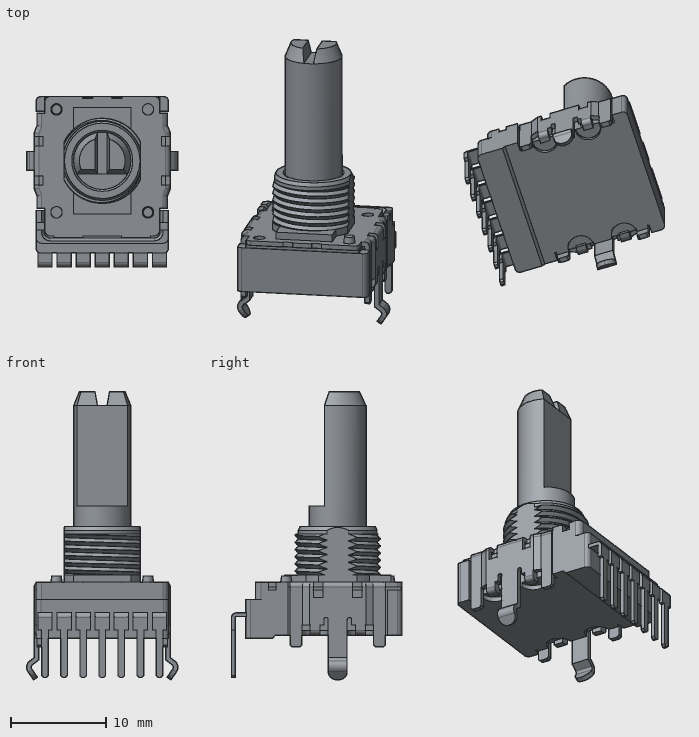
import cadquery as cq
import math


SHAFT_D = 6.0
SHAFT_TOP = 20.0
FLAT_Y = -1.4
FLAT_BOTTOM = 8.0
TIP_H = 1.45
TIP_INSET = 0.6
TIP_FLAT_INSET = 0.5
SLOT_BOTTOM_W = 1.0
SLOT_TOP_W = 1.5

BUSHING_TOP = 5.85
BUSHING_FLATS = 8.0
MAJOR_D = 8.95
MINOR_D = 8.3
THREAD_PITCH = 0.75
THREAD_TOP = 5.05
THREAD_CREST_Z = 0.24
THREAD_CREST_W = 0.04
THREAD_ROOT_GAP = 0.003
THREAD_EMBED = 0.01
BUSHING_CHAMFER = 0.4
BORE_CHAMFER = 0.2
PAD_H = 0.75
PAD_X = 6.0
PAD_Y = 11.15

SHEET = 0.5
BEND_R = 0.5
PLATE_HALF_X = 6.0
PLATE_BACK = 6.75
PLATE_FRONT = -7.87
PLATE_CORNER_R = 0.5
LIP_DEPTH = 0.16
LIP_X = (2.0, 5.05)
BACK_NOTCH_X = (1.0, 2.05)
BACK_NOTCH_DEPTH = 0.2
WALL_X = 7.15
LEG_X = 6.85
WALL_HALF_Y = 2.95
JOG_END_Y = 3.7
LEG_OUTER_Y = 5.0
LEG_INNER_Y = 3.75
LEG_BOTTOM = -6.78
LEG_CHAMFER = 0.2
WALL_BOTTOM = -4.5
WINDOW_Y = (1.57, 2.55)
WINDOW_BOTTOM = -1.6
WINDOW_INNER_X = 6.2
PEG_X = 4.8
PEG_Y = 5.4
PEG_BASE_D = 1.2
PEG_TOP_D = 1.0
PEG_H = 0.66

TAB_Y = (1.85, 2.9)
TAB_BEND_Z = -5.05
FOOT_W = 2.0
FOOT_BEND_Z = -8.03
FOOT_KNEE_X = 7.89
FOOT_KNEE_Z = -8.8
FOOT_TIP_X = 7.0
FOOT_TIP_Z = -10.12
FOOT_BEND_OUTER_R = 0.8
FOOT_BEND_INNER_R = FOOT_BEND_OUTER_R - SHEET
FOOT_TIP_R = 0.99
RELIEF_W = 0.45
RELIEF_TOP = -3.7

BODY_HALF_X = 6.95
BODY_BACK = 6.75
BODY_FRONT = -8.65
BODY_BOTTOM = -5.57
BODY_CORNER_R = 0.5
UPPER_CORNER_R = 0.6
STEP_FRONT = -9.67
STEP_TOP = -1.8
STEP_BOTTOM = -5.9
STEP_RAMP_Y = (-6.55, -6.85)
RIM_TOP = -0.8
BACK_CORE_Y = 6.65
RECESS_HALF_Y = 5.2
RECESS_X = 6.35
GAP_X = 6.05
SCOOP_R = 1.37
SCOOP_TOP = TAB_BEND_Z
TRAY_WALL_X = 6.37
TRAY_FRONT = -8.39
TRAY_INSET = 0.3
TRAY_CORNER_R = 0.9
SIDE_NOTCH_Y = (-6.45, -7.25)
SIDE_NOTCH_DEPTH = 0.8

PIN_COUNT = 7
PIN_PITCH = 2.0
PIN_T = 0.4
PIN_W = 0.72
PIN_SHOULDER_W = 1.5
PIN_TOP = -3.2
PIN_OUTER_Y = -11.15
PIN_BEND_R = 0.5
PIN_SHOULDER_Z = -5.0
PIN_BOTTOM = -10.0
PIN_TIP_CHAMFER = 0.22
PIN_EMBED = 1.0

BOTH_SIDES = (-1, 1)

FAR_X = 20.0


def box(x0, x1, y0, y1, z0, z1):
    """Block between two opposite corners."""
    size = (abs(x1 - x0), abs(y1 - y0), abs(z1 - z0))
    return cq.Workplane("XY").box(*size).translate(((x0 + x1) / 2, (y0 + y1) / 2, (z0 + z1) / 2))


def make_shaft():
    """D-shaft with a tapered, screwdriver-slotted tip."""
    radius = SHAFT_D / 2
    tip_z = SHAFT_TOP - TIP_H
    profile = [
        (0, BODY_BOTTOM),
        (radius, BODY_BOTTOM),
        (radius, tip_z),
        (radius - TIP_INSET, SHAFT_TOP),
        (0, SHAFT_TOP),
    ]
    shaft = cq.Workplane("XZ").polyline(profile).close().revolve(360, (0, 0), (0, 1))
    flat = (
        cq.Workplane("YZ")
        .polyline([
            (-SHAFT_D, FLAT_BOTTOM),
            (FLAT_Y, FLAT_BOTTOM),
            (FLAT_Y, tip_z),
            (FLAT_Y + TIP_FLAT_INSET, SHAFT_TOP),
            (-SHAFT_D, SHAFT_TOP),
        ])
        .close()
        .extrude(radius, both=True)
    )
    slot = (
        cq.Workplane("XZ")
        .polyline([
            (-SLOT_BOTTOM_W / 2, tip_z),
            (SLOT_BOTTOM_W / 2, tip_z),
            (SLOT_TOP_W / 2, SHAFT_TOP),
            (-SLOT_TOP_W / 2, SHAFT_TOP),
        ])
        .close()
        .extrude(radius, both=True)
    )
    return shaft.cut(flat).cut(slot)


def make_thread():
    """Left-hand helical ridge, trimmed to the threaded length."""
    root_r = MINOR_D / 2 - THREAD_EMBED
    start_z = THREAD_CREST_Z - THREAD_PITCH
    height = THREAD_TOP - start_z + THREAD_PITCH
    half_root = THREAD_PITCH / 2 - THREAD_ROOT_GAP
    path = cq.Wire.makeHelix(THREAD_PITCH, height, root_r, lefthand=True)
    ridge = (
        cq.Workplane("XZ")
        .polyline([
            (root_r, -half_root),
            (MAJOR_D / 2, -THREAD_CREST_W / 2),
            (MAJOR_D / 2, THREAD_CREST_W / 2),
            (root_r, half_root),
        ])
        .close()
        .sweep(cq.Workplane(path), isFrenet=True)
        .translate((0, 0, start_z))
    )
    return ridge.intersect(box(-MAJOR_D, MAJOR_D, -MAJOR_D, MAJOR_D, PAD_H, THREAD_TOP))


def make_bushing():
    """Threaded bushing with two flats, standing on its pad."""
    core = (
        cq.Workplane("XY")
        .circle(MINOR_D / 2)
        .extrude(BUSHING_TOP)
        .faces(">Z")
        .chamfer(BUSHING_CHAMFER, BUSHING_CHAMFER / 2)
    )
    bore_r = SHAFT_D / 2
    bore = cq.Workplane("XY").workplane(offset=BUSHING_TOP - BORE_CHAMFER).circle(bore_r)
    bore = bore.workplane(offset=BORE_CHAMFER).circle(bore_r + BORE_CHAMFER).loft()
    collar = cq.Workplane("XY").circle(MAJOR_D / 2).extrude(PAD_H)
    between_flats = box(-BUSHING_FLATS / 2, BUSHING_FLATS / 2, -MAJOR_D, MAJOR_D, 0, BUSHING_TOP)
    bushing = core.union(make_thread()).cut(bore).union(collar).intersect(between_flats)
    pad = cq.Workplane("XY").rect(PAD_X, PAD_Y).extrude(PAD_H)
    return bushing.union(pad)


def make_plate():
    """Flat top of the cover with its edge notches, lips and two pegs."""
    plate = box(-PLATE_HALF_X, PLATE_HALF_X, PLATE_FRONT, PLATE_BACK, -SHEET, 0)
    plate = plate.edges("|Z").fillet(PLATE_CORNER_R)
    for side in BOTH_SIDES:
        lip_x = [side * x for x in LIP_X]
        plate = plate.union(box(*lip_x, PLATE_FRONT - LIP_DEPTH, PLATE_FRONT + SHEET, -SHEET, 0))
        notch_x = [side * x for x in BACK_NOTCH_X]
        plate = plate.cut(box(*notch_x, PLATE_BACK - BACK_NOTCH_DEPTH, PLATE_BACK, -SHEET, 0))
        peg = cq.Workplane("XY").circle(PEG_BASE_D / 2).workplane(offset=PEG_H).circle(PEG_TOP_D / 2)
        plate = plate.union(peg.loft().translate((side * PEG_X, -side * PEG_Y, 0)))
    return plate


def wall_outline(offset):
    """Jogged line of the cover wall, moved inward by the given offset."""
    leg = LEG_X - offset
    wall = WALL_X - offset
    return [
        (leg, LEG_OUTER_Y),
        (leg, JOG_END_Y),
        (wall, WALL_HALF_Y),
        (wall, -WALL_HALF_Y),
        (leg, -JOG_END_Y),
        (leg, -LEG_OUTER_Y),
    ]


def make_foot():
    """Snap-in foot: a strip bent outward, then back in to a rounded tip."""
    half = SHEET / 2
    center_x = WALL_X - half
    stations = [
        (center_x, RELIEF_TOP),
        (center_x, FOOT_BEND_Z),
        (FOOT_KNEE_X, FOOT_KNEE_Z),
        (FOOT_TIP_X, FOOT_TIP_Z),
    ]
    headings = [math.atan2(b[1] - a[1], b[0] - a[0]) for a, b in zip(stations, stations[1:])]
    outer = []
    inner = []
    for index, (x, z) in enumerate(stations):
        before = headings[max(index - 1, 0)]
        after = headings[min(index, len(headings) - 1)]
        normal = (before + after + math.pi) / 2
        reach = half / math.cos((after - before) / 2)
        outer.append((x + reach * math.cos(normal), z + reach * math.sin(normal)))
        inner.append((x - reach * math.cos(normal), z - reach * math.sin(normal)))
    strip = cq.Workplane("XZ").polyline(outer + inner[::-1]).close().extrude(FOOT_W / 2, both=True)
    for point, radius in ((outer[2], FOOT_BEND_OUTER_R), (inner[2], FOOT_BEND_INNER_R)):
        bend = cq.selectors.NearestToPointSelector((point[0], 0, point[1]))
        strip = strip.edges("|Y").edges(bend).fillet(radius)
    return strip.faces("<Z").edges("not |Y").fillet(FOOT_TIP_R)


def make_tab(side_y):
    """Crimp tab running down from the wall and curling under the body."""
    y0, y1 = [side_y * y for y in TAB_Y]
    tab = box(WALL_X - 2 * SHEET, WALL_X, y0, y1, WALL_BOTTOM, TAB_BEND_Z - SHEET)
    return tab.edges("|Y and >X and <Z").fillet(SHEET)


def make_side_wall():
    """Cover wall on the +X side with its legs, windows, crimp tabs and foot."""
    wall = (
        cq.Workplane("XY")
        .polyline(wall_outline(0) + [(0, -LEG_OUTER_Y), (0, LEG_OUTER_Y)])
        .close()
        .extrude(LEG_BOTTOM)
    )
    outer_top_edges = cq.selectors.BoxSelector((PEG_X, -WALL_X, -BEND_R), (FAR_X, WALL_X, BEND_R))
    wall = wall.faces(">Z").edges(outer_top_edges).fillet(BEND_R)
    interior = (
        cq.Workplane("XY", origin=(0, 0, -SHEET))
        .polyline(wall_outline(SHEET) + [(0, -LEG_OUTER_Y), (0, LEG_OUTER_Y)])
        .close()
        .extrude(LEG_BOTTOM)
    )
    wall = wall.cut(interior)
    wall = wall.cut(box(0, FAR_X, -LEG_INNER_Y, LEG_INNER_Y, WALL_BOTTOM, LEG_BOTTOM))
    wall = wall.edges("|X and <Z").chamfer(LEG_CHAMFER)
    for side in BOTH_SIDES:
        window_y = [side * y for y in WINDOW_Y]
        wall = wall.cut(box(WINDOW_INNER_X, FAR_X, *window_y, WINDOW_BOTTOM, 0))
        relief_y = side * (FOOT_W + RELIEF_W) / 2
        relief_r = RELIEF_W / 2
        relief = (
            cq.Workplane("YZ")
            .center(relief_y, RELIEF_TOP - relief_r)
            .circle(relief_r)
            .extrude(FAR_X)
        )
        relief_sides = (relief_y - relief_r, relief_y + relief_r)
        relief = relief.union(box(0, FAR_X, *relief_sides, RELIEF_TOP - relief_r, LEG_BOTTOM))
        wall = wall.cut(relief).union(make_tab(side))
    return wall.union(make_foot())


def make_cover():
    """Metal cover: plate, both side walls and two holes opposite the pegs."""
    wall = make_side_wall()
    cover = make_plate().union(wall).union(wall.mirror("YZ"))
    for side in BOTH_SIDES:
        hole = cq.Workplane("XY").circle(PEG_BASE_D / 2).extrude(-SHEET)
        cover = cover.cut(hole.translate((side * PEG_X, side * PEG_Y, 0)))
    return cover


def make_body():
    """Plastic body: stepped block with a tray for the cover and recessed sides."""
    upper = box(-BODY_HALF_X, BODY_HALF_X, BODY_FRONT, BODY_BACK, BODY_BOTTOM, 0)
    upper = upper.edges("|Z and >Y").fillet(BODY_CORNER_R)
    upper = upper.edges("|Z and <Y").fillet(UPPER_CORNER_R)
    step = (
        cq.Workplane("YZ")
        .polyline([
            (STEP_FRONT, STEP_TOP),
            (0, STEP_TOP),
            (0, BODY_BOTTOM),
            (STEP_RAMP_Y[0], BODY_BOTTOM),
            (STEP_RAMP_Y[1], STEP_BOTTOM),
            (STEP_FRONT, STEP_BOTTOM),
        ])
        .close()
        .extrude(BODY_HALF_X, both=True)
        .edges("|Z and <Y")
        .fillet(BODY_CORNER_R)
    )
    body = upper.union(step)

    tray_length = BODY_BACK - TRAY_FRONT
    taper = math.degrees(math.atan2(TRAY_INSET, SHEET))
    tray = (
        cq.Workplane("XY")
        .sketch()
        .rect(2 * TRAY_WALL_X, 2 * tray_length)
        .vertices()
        .fillet(TRAY_CORNER_R)
        .finalize()
        .extrude(-SHEET, taper=taper)
        .translate((0, TRAY_FRONT + tray_length, 0))
    )
    body = body.cut(tray)
    body = body.cut(box(-PLATE_HALF_X, PLATE_HALF_X, BACK_CORE_Y, BODY_BACK, RIM_TOP, 0))

    for side in BOTH_SIDES:
        outside = side * FAR_X
        body = body.cut(box(side * GAP_X, outside, -RECESS_HALF_Y, BODY_BACK, RIM_TOP, 0))
        body = body.cut(box(side * RECESS_X, outside, -RECESS_HALF_Y, RECESS_HALF_Y, BODY_BOTTOM, 0))
        for end in BOTH_SIDES:
            backing_y = [end * y for y in WINDOW_Y]
            wall_inner_x = WALL_X - SHEET
            body = body.union(box(side * GAP_X, side * wall_inner_x, *backing_y, WALL_BOTTOM, RIM_TOP))
            scoop = cq.Workplane("XY").circle(SCOOP_R).extrude(SCOOP_TOP - BODY_BOTTOM)
            tab_y = end * sum(TAB_Y) / 2
            body = body.cut(scoop.translate((side * RECESS_X, tab_y, BODY_BOTTOM)))
        body = body.cut(box(side * GAP_X, outside, *SIDE_NOTCH_Y, -SIDE_NOTCH_DEPTH, 0))
        for end in BOTH_SIDES:
            gap_y = (end * LEG_OUTER_Y, end * RECESS_HALF_Y)
            body = body.cut(box(side * GAP_X, outside, *gap_y, BODY_BOTTOM, 0))
    return body


def make_pin():
    """Right-angle terminal with a wide shoulder and a pointed tip."""
    rail_back = STEP_FRONT + PIN_EMBED
    inner_y = PIN_OUTER_Y + PIN_T
    pin = (
        cq.Workplane("YZ")
        .polyline([
            (rail_back, PIN_TOP),
            (PIN_OUTER_Y, PIN_TOP),
            (PIN_OUTER_Y, PIN_BOTTOM),
            (inner_y, PIN_BOTTOM),
            (inner_y, PIN_TOP - PIN_T),
            (rail_back, PIN_TOP - PIN_T),
        ])
        .close()
        .extrude(PIN_SHOULDER_W / 2, both=True)
        .edges("|X and <Y and >Z")
        .fillet(PIN_BEND_R)
    )
    inner_bend = cq.selectors.NearestToPointSelector((0, inner_y, PIN_TOP - PIN_T))
    pin = pin.edges("|X").edges(inner_bend).fillet(PIN_BEND_R - PIN_T)
    for side in BOTH_SIDES:
        trim_x = (side * PIN_W / 2, side * PIN_SHOULDER_W)
        pin = pin.cut(box(*trim_x, PIN_OUTER_Y, inner_y, PIN_SHOULDER_Z, PIN_BOTTOM))
    return pin.edges("|Y and <Z").chamfer(PIN_TIP_CHAMFER)


result = make_body().union(make_cover()).union(make_bushing()).union(make_shaft())
terminal = make_pin()
for pin_index in range(PIN_COUNT):
    pin_x = (pin_index - (PIN_COUNT - 1) / 2) * PIN_PITCH
    result = result.union(terminal.translate((pin_x, 0, 0)))